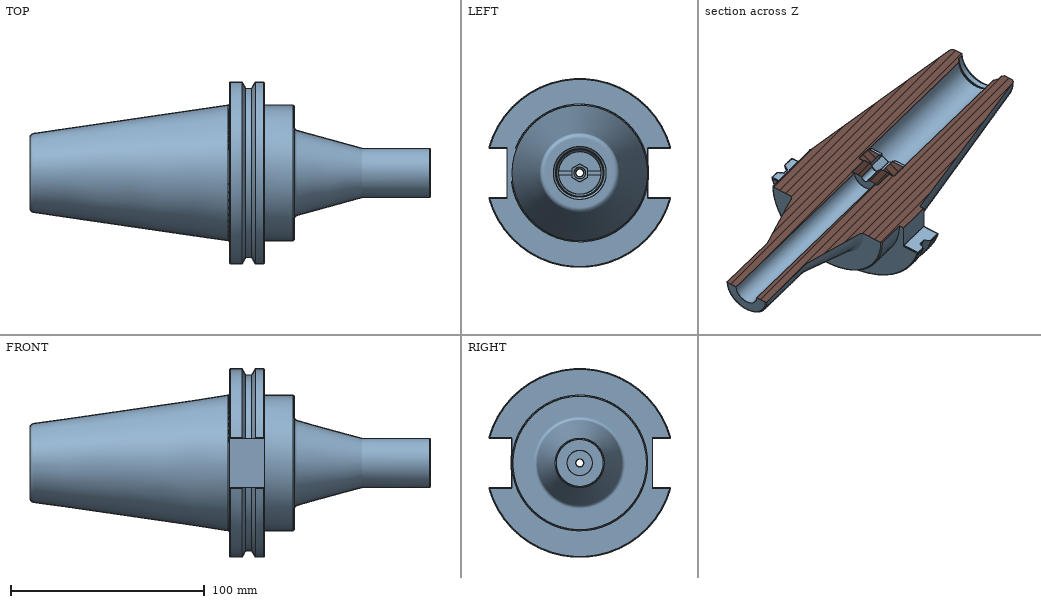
import cadquery as cq
import math

TOTAL_LENGTH = 206.8
GAUGE_X = 101.7
FLANGE_START_X = 103.0
FLANGE_END_X = 121.0
COLLAR_END_X = 136.5
NOSE_START_X = 171.5

TAPER_RATE = 7 / 24
GAUGE_DIAMETER = 69.9
COLLAR_DIAMETER = 70.0
FLANGE_DIAMETER = 97.4
CONE_START_DIAMETER = 44.7
NOSE_DIAMETER = 25.5
TAPER_END_FILLET = 2.5
NECK_FILLET = 0.6
CONE_FILLET = 1.9
EDGE_CHAMFER = 0.6
FLANGE_CHAMFER = 0.5

GROOVE_X = 112.9
GROOVE_FLOOR_DIAMETER = 91.0
GROOVE_FLOOR_WIDTH = 3.0
GROOVE_ANGLE = 60

DRIVE_SLOT_WIDTH = 25.5
FRONT_SLOT_FLOOR = 35.2
BACK_SLOT_FLOOR = 37.6

MOUTH_DIAMETER = 27.3
MOUTH_CHAMFER_DEPTH = 1.2
COUNTERBORE_DIAMETER = 25.0
COUNTERBORE_DEPTH = 4.5
ENTRY_CONE_DIAMETER = 24.0
ENTRY_CONE_END_X = 6.2
BORE_DIAMETER = 22.0
BORE_END_X = 93.0
SCREW_DIAMETER = 16.0
SCREW_LENGTH = 10.3
NOSE_BORE_DIAMETER = 13.0

PLUG_LENGTH = 10.3
DRIVER_SLOT_WIDTH = 2.0
DRIVER_SLOT_DEPTH = 2.0
HEX_ACROSS_FLATS = 8.0

COOLANT_HOLE_DIAMETER = 4.0
COUNTERSINK_DIAMETER = 6.0

PLUG_START_X = BORE_END_X - PLUG_LENGTH
SCREW_END_X = BORE_END_X + SCREW_LENGTH


def turned(profile):
    """Solid of revolution about X from a closed list of (x, radius) points."""
    return cq.Workplane("XY").polyline(profile).close().revolve(360, (0, 0, 0), (1, 0, 0))


def cylinder(diameter, start_x, end_x):
    return cq.Workplane("YZ", origin=(start_x, 0, 0)).circle(diameter / 2).extrude(end_x - start_x)


def make_taper():
    end_radius = (GAUGE_DIAMETER - TAPER_RATE * GAUGE_X) / 2
    taper = turned([(0, 0), (0, end_radius), (GAUGE_X, GAUGE_DIAMETER / 2), (GAUGE_X, 0)])
    return taper.faces("<X").edges().fillet(TAPER_END_FILLET)


def make_neck():
    """Short neck with a concave fillet that runs out on the flange face."""
    radius = GAUGE_DIAMETER / 2
    return (
        cq.Workplane("XY")
        .moveTo(GAUGE_X, 0)
        .lineTo(GAUGE_X, radius)
        .lineTo(FLANGE_START_X - NECK_FILLET, radius)
        .radiusArc((FLANGE_START_X, radius + NECK_FILLET), -NECK_FILLET)
        .lineTo(FLANGE_START_X, 0)
        .close()
        .revolve(360, (0, 0, 0), (1, 0, 0))
    )


def make_drive_slot(floor, side):
    """Block that cuts one drive slot, on the +Y (side = 1) or -Y (side = -1) of the flange."""
    width = FLANGE_END_X - FLANGE_START_X
    depth = FLANGE_DIAMETER / 2 - floor
    center = (FLANGE_START_X + width / 2, side * (floor + depth / 2), 0)
    return cq.Workplane("XY", origin=center).box(width, depth, DRIVE_SLOT_WIDTH)


def make_gripper_groove():
    floor_radius = GROOVE_FLOOR_DIAMETER / 2
    top_radius = FLANGE_DIAMETER / 2
    floor_half = GROOVE_FLOOR_WIDTH / 2
    top_half = floor_half + (top_radius - floor_radius) * math.tan(math.radians(GROOVE_ANGLE / 2))
    return turned([
        (GROOVE_X - top_half, top_radius),
        (GROOVE_X - floor_half, floor_radius),
        (GROOVE_X + floor_half, floor_radius),
        (GROOVE_X + top_half, top_radius),
    ])


def make_flange():
    flange = cylinder(FLANGE_DIAMETER, FLANGE_START_X, FLANGE_END_X)
    flange = flange.cut(make_drive_slot(FRONT_SLOT_FLOOR, -1)).cut(make_drive_slot(BACK_SLOT_FLOOR, 1))
    slot_wall_edges = flange.edges("|Y")
    outer_edges = flange.faces("%CYLINDER").edges()
    flange = outer_edges.add(slot_wall_edges).chamfer(FLANGE_CHAMFER)
    return flange.cut(make_gripper_groove())


def make_collar():
    return cylinder(COLLAR_DIAMETER, FLANGE_END_X, COLLAR_END_X).faces(">X").edges().chamfer(EDGE_CHAMFER)


def make_front_cone():
    """Front cone with a concave fillet tangent to both the collar face and the cone."""
    start_radius = CONE_START_DIAMETER / 2
    end_radius = NOSE_DIAMETER / 2
    angle = math.atan((start_radius - end_radius) / (NOSE_START_X - COLLAR_END_X))
    setback = CONE_FILLET * math.tan((math.pi / 2 - angle) / 2)
    fillet_end = (COLLAR_END_X + setback * math.cos(angle), start_radius - setback * math.sin(angle))
    return (
        cq.Workplane("XY")
        .moveTo(COLLAR_END_X, 0)
        .lineTo(COLLAR_END_X, start_radius + setback)
        .radiusArc(fillet_end, -CONE_FILLET)
        .lineTo(NOSE_START_X, end_radius)
        .lineTo(NOSE_START_X, 0)
        .close()
        .revolve(360, (0, 0, 0), (1, 0, 0))
    )


def make_nose():
    return cylinder(NOSE_DIAMETER, NOSE_START_X, TOTAL_LENGTH).faces(">X").edges().chamfer(EDGE_CHAMFER)


def make_bore():
    bore_radius = BORE_DIAMETER / 2
    screw_radius = SCREW_DIAMETER / 2
    nose_bore_radius = NOSE_BORE_DIAMETER / 2
    return turned([
        (0, 0),
        (0, MOUTH_DIAMETER / 2),
        (MOUTH_CHAMFER_DEPTH, COUNTERBORE_DIAMETER / 2),
        (COUNTERBORE_DEPTH, COUNTERBORE_DIAMETER / 2),
        (COUNTERBORE_DEPTH, ENTRY_CONE_DIAMETER / 2),
        (ENTRY_CONE_END_X, bore_radius),
        (BORE_END_X, bore_radius),
        (BORE_END_X, screw_radius),
        (SCREW_END_X, screw_radius),
        (SCREW_END_X, nose_bore_radius),
        (TOTAL_LENGTH, nose_bore_radius),
        (TOTAL_LENGTH, 0),
    ])


def make_holder():
    holder = make_taper()
    for section in (make_neck(), make_flange(), make_collar(), make_front_cone(), make_nose()):
        holder = holder.union(section)
    return holder.cut(make_bore())


def make_plug():
    plug = cylinder(BORE_DIAMETER, PLUG_START_X, BORE_END_X)
    driver_slot = (
        cq.Workplane("XY", origin=(PLUG_START_X, 0, 0))
        .box(DRIVER_SLOT_DEPTH, BORE_DIAMETER, DRIVER_SLOT_WIDTH, centered=(False, True, True))
    )
    hex_hole = (
        cq.Workplane("YZ", origin=(PLUG_START_X, 0, 0))
        .polygon(6, HEX_ACROSS_FLATS, circumscribed=True)
        .extrude(PLUG_LENGTH)
    )
    return plug.cut(driver_slot).cut(hex_hole)


def make_screw():
    hole_radius = COOLANT_HOLE_DIAMETER / 2
    countersink_radius = COUNTERSINK_DIAMETER / 2
    return turned([
        (BORE_END_X, countersink_radius),
        (BORE_END_X, SCREW_DIAMETER / 2),
        (SCREW_END_X, SCREW_DIAMETER / 2),
        (SCREW_END_X, hole_radius),
        (BORE_END_X + countersink_radius - hole_radius, hole_radius),
    ])


holder = make_holder()
plug = make_plug()
screw = make_screw()

result = cq.Compound.makeCompound([body.solids().val() for body in (holder, plug, screw)])